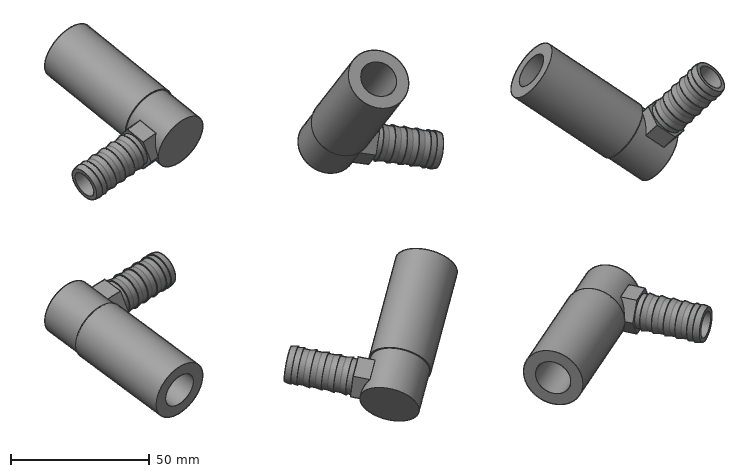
import cadquery as cq

total_length = 60.0
total_width = 51.0
elbow_length = 17.05
sleeve_length = total_length - elbow_length
sleeve_diameter = 23.0
elbow_diameter = 22.0

branch_x = total_length - elbow_length / 2
hex_across_corners = 17.0
hex_end = 14.5
branch_reach = total_width - sleeve_diameter / 2
tail_length = branch_reach - hex_end
tail_radius = 6.55

barb_count = 5
barb_radius = 7.0
barb_start = 2.1
barb_length = 2.3
tip_length = 2.5
barb_pitch = (tail_length - tip_length - barb_length - barb_start) / (barb_count - 1)

bore_radius = 5.0
socket_diameter = 13.6


def rod_along_x(start, length, diameter):
    """Cylinder on the X axis."""
    return cq.Workplane("YZ").workplane(offset=start).circle(diameter / 2).extrude(length)


def branch_plane(distance):
    """Workplane across the branch, facing its tip, at a distance from the sleeve axis."""
    return cq.Workplane(cq.Plane((branch_x, -distance, 0), (1, 0, 0), (0, -1, 0)))


def make_hose_tail():
    """Solid tail, turned about the branch axis from its stepped profile."""
    profile = cq.Workplane(cq.Plane((branch_x, 0, 0), (1, 0, 0), (0, 0, 1)))
    profile = profile.moveTo(0, 0).lineTo(tail_radius, 0)
    for index in range(barb_count):
        step = hex_end + barb_start + index * barb_pitch
        profile = profile.lineTo(tail_radius, -step)
        profile = profile.lineTo(barb_radius, -step)
        profile = profile.lineTo(tail_radius, -(step + barb_length))
    tip_start = branch_reach - tip_length
    tip_drop = barb_radius - tail_radius
    arc_radius = (tip_length**2 + tip_drop**2) / (2 * tip_drop)
    profile = profile.lineTo(barb_radius, -tip_start)
    profile = profile.radiusArc((tail_radius, -branch_reach), arc_radius)
    return profile.lineTo(0, -branch_reach).close().revolve(360, (0, 0, 0), (0, 1, 0))


def make_passage():
    """L-shaped passage: a mitred bore plus the wide socket filling the sleeve."""
    path = cq.Workplane("XY").polyline([(0, 0), (branch_x, 0), (branch_x, -branch_reach)])
    bore = cq.Workplane("YZ").circle(bore_radius).sweep(path, transition="right")
    return bore.union(rod_along_x(0, sleeve_length, socket_diameter))


sleeve = rod_along_x(0, sleeve_length, sleeve_diameter)
elbow = rod_along_x(sleeve_length, elbow_length, elbow_diameter)
hex_neck = branch_plane(0).polygon(6, hex_across_corners).extrude(hex_end)

result = sleeve.union(elbow).union(hex_neck).union(make_hose_tail()).cut(make_passage())